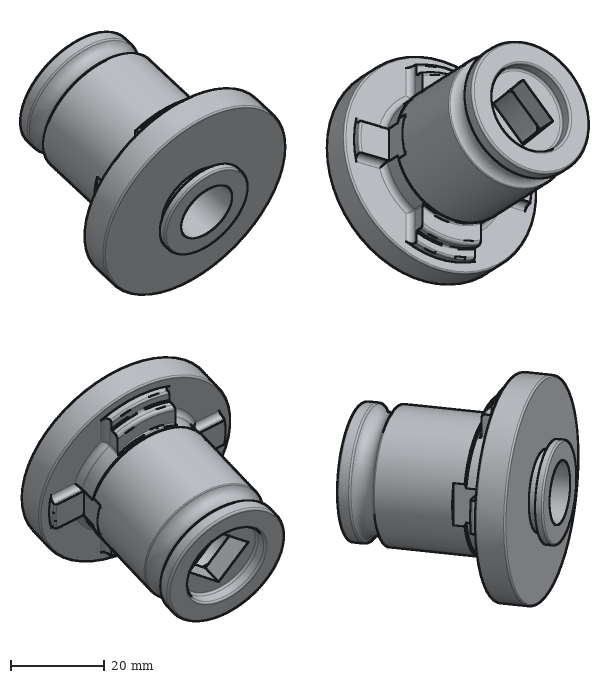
import cadquery as cq
import math


GROOVE_CENTER = 5.75
NECK_START = 29.25
RIM_FACE = 34.5
RIM_THICKNESS = 7.0
SPIGOT_LENGTH = 2.2
OVERALL_LENGTH = 45.5

COLLAR_DIAMETER = 30.5
BODY_DIAMETER = 31.0
NECK_DIAMETER = 30.5
RIM_DIAMETER = 50.0
SPIGOT_DIAMETER = 18.2
DISC_DIAMETER = 22.9

GROOVE_RADIUS = 2.8
GROOVE_BOTTOM_DIAMETER = 26.8

COLLAR_ROUND = 0.5
GROOVE_LIP_ROUND = 0.3
BODY_BEVEL_DEPTH = 0.25
BODY_BEVEL_LENGTH = 0.4
RIM_ROUND = 0.4
DISC_ROUND = 0.4
BASE_FILLET = 1.4
TIP_ROUND = 0.5
STEP_ROUND = 0.9
STEP_INNER_FILLET = 0.25
WIDE_LUG_ROOT_FILLET = 0.35

LUG_TIP_DIAMETER = 45.0
LUG_FACE = 32.55
WIDE_LUG_WIDTH = 15.1
NARROW_LUG_WIDTH = 7.5
STEP_FACE = 30.25
STEP_DIAMETER = 40.0
LUG_ROOT_RADIUS = 12.0

FLAT_START = 26.3
FLAT_OFFSET = 14.75

BORE_DIAMETER = 20.1
BORE_DEPTH = 3.0
BORE_ROUND = 0.5
SOCKET_DIAGONAL = 15.5
SOCKET_DEPTH = 5.0
HOLE_DIAMETER = 14.0

RIM_BACK = RIM_FACE + RIM_THICKNESS
DISC_START = RIM_BACK + SPIGOT_LENGTH
DIAGONAL = math.sqrt(0.5)
MARGIN = 1.0


def rod(start, end, diameter):
    """Cylinder on the X axis between two stations."""
    return cq.Workplane("YZ", origin=(start, 0, 0)).circle(diameter / 2).extrude(end - start)


def revolve_about_x(profile):
    return profile.close().revolve(360, (0, 0, 0), (1, 0, 0))


def turned_ring(station, ring_radius, wire_radius):
    """Ring of round section around the X axis."""
    return (
        cq.Workplane("XY")
        .center(station, ring_radius)
        .circle(wire_radius)
        .revolve(360, (0, -ring_radius, 0), (1, -ring_radius, 0))
    )


def edges_within(start, end, reach_y, low_z, high_z):
    """Selector for edges centred between two X stations, two sides in Y and two heights in Z."""
    return cq.selectors.BoxSelector((start, -reach_y, low_z), (end, reach_y, high_z))


def ball_groove():
    """Ring of round section that cuts the groove."""
    ring_radius = GROOVE_BOTTOM_DIAMETER / 2 + GROOVE_RADIUS
    return turned_ring(GROOVE_CENTER, ring_radius, GROOVE_RADIUS)


def collar_and_body():
    """Collar, ball groove and main cylinder with a bevelled end."""
    radius = BODY_DIAMETER / 2
    collar = rod(0, GROOVE_CENTER, COLLAR_DIAMETER)
    body = revolve_about_x(
        cq.Workplane("XY")
        .moveTo(GROOVE_CENTER, 0)
        .lineTo(GROOVE_CENTER, radius)
        .lineTo(NECK_START - BODY_BEVEL_LENGTH, radius)
        .lineTo(NECK_START, radius - BODY_BEVEL_DEPTH)
        .lineTo(NECK_START, 0)
    )
    grooved = collar.union(body).cut(ball_groove())
    groove_start = GROOVE_CENTER - GROOVE_RADIUS
    groove_end = GROOVE_CENTER + GROOVE_RADIUS
    collar_edges = edges_within(-MARGIN, groove_start + MARGIN, radius, -radius, radius)
    lip_edge = edges_within(groove_end - MARGIN, groove_end, radius, -radius, radius)
    grooved = grooved.edges("%CIRCLE").edges(collar_edges).fillet(COLLAR_ROUND)
    return grooved.edges("%CIRCLE").edges(lip_edge).fillet(GROOVE_LIP_ROUND)


def neck():
    """Neck that flares into the rim face."""
    radius = NECK_DIAMETER / 2
    bend = BASE_FILLET * (1 - DIAGONAL)
    profile = (
        cq.Workplane("XY")
        .moveTo(NECK_START - MARGIN, 0)
        .lineTo(NECK_START - MARGIN, radius)
        .lineTo(RIM_FACE - BASE_FILLET, radius)
        .threePointArc((RIM_FACE - bend, radius + bend), (RIM_FACE, radius + BASE_FILLET))
        .lineTo(RIM_FACE, 0)
    )
    return revolve_about_x(profile)


def lug_bar(face, width):
    """Bar across the part along Z, with both long sides flaring into the rim face."""
    half = width / 2
    bend = BASE_FILLET * (1 - DIAGONAL)
    flare = RIM_FACE - BASE_FILLET
    return (
        cq.Workplane("XY", origin=(0, 0, -LUG_TIP_DIAMETER))
        .moveTo(face, -half)
        .lineTo(face, half)
        .lineTo(flare, half)
        .threePointArc((RIM_FACE - bend, half + bend), (RIM_FACE, half + BASE_FILLET))
        .lineTo(RIM_FACE, -half - BASE_FILLET)
        .threePointArc((RIM_FACE - bend, -half - bend), (flare, -half))
        .close()
        .extrude(2 * LUG_TIP_DIAMETER)
    )


def lug_ring():
    """Turned ring that gives a lug its rounded tip."""
    ring = rod(LUG_FACE, RIM_FACE, LUG_TIP_DIAMETER).faces("<X").edges().fillet(TIP_ROUND)
    return ring.cut(rod(LUG_FACE, RIM_FACE, 2 * LUG_ROOT_RADIUS))


def stepped_ring():
    """Lug ring with a smaller raised step in front of it and a fillet in the inner corner."""
    step = rod(STEP_FACE, RIM_FACE, STEP_DIAMETER).faces("<X").edges().fillet(STEP_ROUND)
    fillet_start = LUG_FACE - STEP_INNER_FILLET
    fillet_radius = STEP_DIAMETER / 2 + STEP_INNER_FILLET
    corner = rod(fillet_start, LUG_FACE, 2 * fillet_radius)
    corner = corner.cut(turned_ring(fillet_start, fillet_radius, STEP_INNER_FILLET))
    raised = step.union(corner).cut(rod(STEP_FACE, RIM_FACE, 2 * LUG_ROOT_RADIUS))
    return lug_ring().union(raised)


def lugs():
    """Two wide stepped lugs along Z and two narrow lugs along Y."""
    wide = lug_bar(STEP_FACE, WIDE_LUG_WIDTH).intersect(stepped_ring())
    narrow_bar = lug_bar(LUG_FACE, NARROW_LUG_WIDTH).rotate((0, 0, 0), (1, 0, 0), 90)
    return wide.union(narrow_bar.intersect(lug_ring()))


def neck_with_lugs():
    """Neck and lugs, with the roots of the wide lugs filleted into the neck."""
    joined = neck().union(lugs())
    low = LUG_ROOT_RADIUS
    high = NECK_DIAMETER / 2 - BODY_BEVEL_DEPTH
    for bottom, top in ((low, high), (-high, -low)):
        roots = edges_within(STEP_FACE - MARGIN, LUG_FACE, WIDE_LUG_WIDTH, bottom, top)
        joined = joined.edges(roots).fillet(WIDE_LUG_ROOT_FILLET)
    return joined


def rim_and_disc():
    rim = rod(RIM_FACE, RIM_BACK, RIM_DIAMETER).edges().fillet(RIM_ROUND)
    spigot = rod(RIM_BACK, DISC_START, SPIGOT_DIAMETER)
    disc = rod(DISC_START, OVERALL_LENGTH, DISC_DIAMETER).faces(">X").edges().fillet(DISC_ROUND)
    return rim.union(spigot).union(disc)


def flat_cutters():
    """Blocks that mill the two flats in front of the narrow lugs."""
    length = LUG_FACE - FLAT_START
    depth = BODY_DIAMETER / 2
    block = cq.Workplane("XY").box(length, depth, BODY_DIAMETER, centered=(False, False, True))
    upper = block.translate((FLAT_START, FLAT_OFFSET, 0))
    return upper.union(upper.mirror("XZ"))


def opening():
    """Bore with rounded mouth and floor, square socket and through hole."""
    bore = rod(0, BORE_DEPTH, BORE_DIAMETER).faces(">X").edges().fillet(BORE_ROUND)
    mouth_radius = BORE_DIAMETER / 2 + BORE_ROUND
    bend = BORE_ROUND * (1 - DIAGONAL)
    mouth = revolve_about_x(
        cq.Workplane("XY")
        .moveTo(0, 0)
        .lineTo(0, mouth_radius)
        .threePointArc((bend, BORE_DIAMETER / 2 + bend), (BORE_ROUND, BORE_DIAMETER / 2))
        .lineTo(BORE_ROUND, 0)
    )
    side = SOCKET_DIAGONAL * DIAGONAL
    socket = (
        cq.Workplane("YZ", origin=(BORE_DEPTH, 0, 0))
        .rect(side, side)
        .extrude(SOCKET_DEPTH)
        .rotate((0, 0, 0), (1, 0, 0), 45)
    )
    hole = rod(BORE_DEPTH + SOCKET_DEPTH, OVERALL_LENGTH, HOLE_DIAMETER)
    return bore.union(mouth).union(socket).union(hole)


result = (
    collar_and_body()
    .union(neck_with_lugs())
    .union(rim_and_disc())
    .cut(flat_cutters())
    .cut(opening())
)